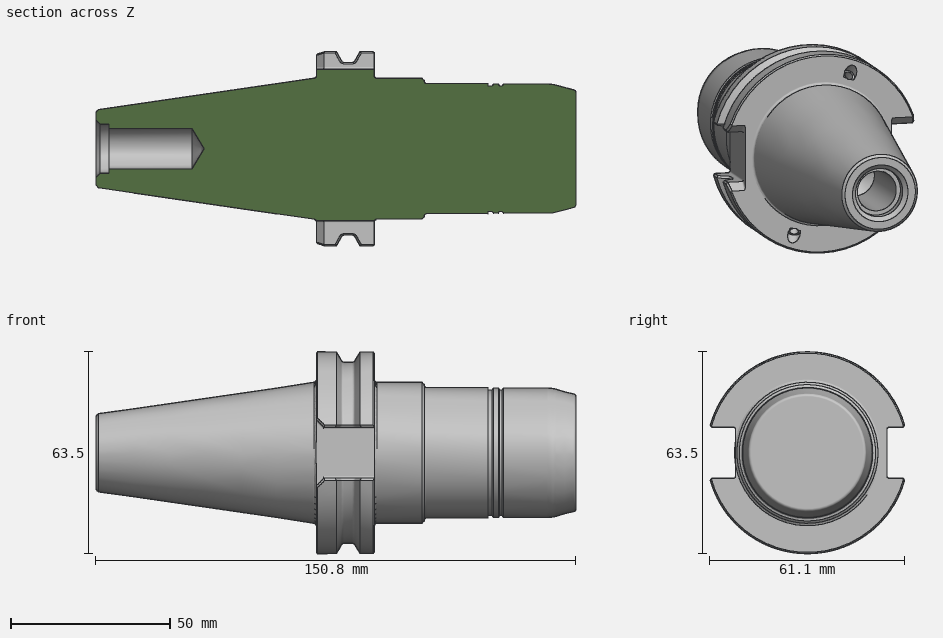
import cadquery as cq
import math

total_length = 150.8

taper_slope = 7 / 48
gauge_x = 68.3
gauge_radius = 22.2
small_radius = gauge_radius - gauge_x * taper_slope
tip_bevel = 0.8

flange_front = 69.2
flange_back = 87.5
flange_diameter = 63.5
flange_radius = flange_diameter / 2
flange_bevel = 0.5
root_fillet = 0.8
groove_floor_radius = 28.5
groove_front = 75.5
groove_back = 83.0
groove_flank_angle = math.radians(30)
groove_fillet = 0.8

collar_end = 103.1
collar_bevel = 0.8

body_radius = 20.5
body_end = 123.2
neck_fillet = 0.8
nose_radius = 20.4
ring_floor_radius = 19.8
ring_flank = 0.5
ridge_front = 124.9
ridge_back = 126.4
nose_front = 128.0

blend_front = 141.9
blend_length = 2.5
nose_angle = math.radians(15)
rim_fillet = 0.9

slot_half_width = 8.0
slot_floors = {1: 25.0, -1: 22.6}
slot_lead = 2.4
slot_floor_fillet = 0.6
slot_edge_bevel = 0.68

bore_mouth_radius = 9.0
counterbore_radius = 7.7
bore_radius = 6.3
counterbore_depth = 4.0
bore_depth = 30.2
drill_tip_angle = math.radians(59)

coolant_mouth_radius = 2.0
coolant_mouth_depth = 1.2
coolant_radius = 1.4
coolant_circle = 26.8
coolant_turn = 20.0
coolant_slant = 45.0
coolant_depth = 7.5
coolant_lead_in = 3.0

tolerance = 0.02


def revolve_about_x(profile):
    return profile.close().revolve(360, (0, 0, 0), (1, 0, 0))


def turned_body():
    groove_run = (flange_radius - groove_floor_radius) * math.tan(groove_flank_angle)
    blend_radius = blend_length / math.sin(nose_angle)
    half_angle = nose_angle / 2
    blend_middle = (
        blend_front + blend_radius * math.sin(half_angle),
        nose_radius - blend_radius * (1 - math.cos(half_angle)),
    )
    cone_x = blend_front + blend_length
    cone_radius = nose_radius - blend_radius * (1 - math.cos(nose_angle))
    end_radius = cone_radius - (total_length - cone_x) * math.tan(nose_angle)
    profile = (
        cq.Workplane("XY")
        .lineTo(0, small_radius - tip_bevel)
        .lineTo(tip_bevel, small_radius + tip_bevel * taper_slope)
        .lineTo(gauge_x, gauge_radius)
        .lineTo(flange_front - root_fillet, gauge_radius)
        .radiusArc((flange_front, gauge_radius + root_fillet), -root_fillet)
        .lineTo(flange_front, flange_radius - flange_bevel)
        .lineTo(flange_front + flange_bevel, flange_radius)
        .lineTo(groove_front, flange_radius)
        .lineTo(groove_front + groove_run, groove_floor_radius)
        .lineTo(groove_back - groove_run, groove_floor_radius)
        .lineTo(groove_back, flange_radius)
        .lineTo(flange_back - flange_bevel, flange_radius)
        .lineTo(flange_back, flange_radius - flange_bevel)
        .lineTo(flange_back, gauge_radius + root_fillet)
        .radiusArc((flange_back + root_fillet, gauge_radius), -root_fillet)
        .lineTo(collar_end - collar_bevel, gauge_radius)
        .lineTo(collar_end, gauge_radius - collar_bevel)
        .lineTo(collar_end, body_radius + neck_fillet)
        .radiusArc((collar_end + neck_fillet, body_radius), -neck_fillet)
        .lineTo(body_end, body_radius)
        .lineTo(body_end, ring_floor_radius)
        .lineTo(ridge_front - ring_flank, ring_floor_radius)
        .lineTo(ridge_front, nose_radius)
        .lineTo(ridge_back, nose_radius)
        .lineTo(ridge_back + ring_flank, ring_floor_radius)
        .lineTo(nose_front - ring_flank, ring_floor_radius)
        .lineTo(nose_front, nose_radius)
        .lineTo(blend_front, nose_radius)
        .threePointArc(blend_middle, (cone_x, cone_radius))
        .lineTo(total_length, end_radius)
        .lineTo(total_length, 0)
    )
    body = revolve_about_x(profile)
    body = body.faces(">X").edges().fillet(rim_fillet)

    groove_corners = cq.selectors.BoxSelector(
        (groove_front, -flange_radius, -flange_radius),
        (groove_back, flange_radius, flange_radius),
    )
    floor_edges = [
        edge
        for edge in body.edges(groove_corners).edges("%CIRCLE").vals()
        if abs(edge.radius() - groove_floor_radius) < tolerance
    ]
    return body.newObject(floor_edges).fillet(groove_fillet)


def drive_slot(side, floor):
    outer = flange_radius + root_fillet
    lead_x = flange_front + slot_lead
    front = flange_front - root_fillet
    wide = slot_half_width + lead_x - front
    outline = [
        (front, -wide),
        (lead_x, -slot_half_width),
        (flange_back, -slot_half_width),
        (flange_back, slot_half_width),
        (lead_x, slot_half_width),
        (front, wide),
    ]
    cutter = (
        cq.Workplane("XZ", origin=(0, side * floor, 0))
        .polyline(outline)
        .close()
        .extrude(-side * (outer - floor))
    )
    floor_face = cutter.faces("<Y" if side > 0 else ">Y")
    return floor_face.edges("not |Z").fillet(slot_floor_fillet)


def bevel_slot_edges(body):
    rims = []
    for edge in body.edges().vals():
        middle = edge.Center()
        lies_on_wall = 0 < abs(middle.z) - slot_half_width + tolerance < slot_lead
        clears_slot_floor = abs(middle.y) > max(slot_floors.values()) + slot_floor_fillet
        between_bevels = flange_front + flange_bevel < middle.x < flange_back - flange_bevel
        is_wall_crease = edge.BoundingBox().xlen < tolerance
        if lies_on_wall and clears_slot_floor and between_bevels and not is_wall_crease:
            rims.append(edge)
    return body.newObject(rims).chamfer(slot_edge_bevel)


def pull_stud_bore():
    mouth_depth = bore_mouth_radius - counterbore_radius
    tip_depth = bore_radius / math.tan(drill_tip_angle)
    profile = (
        cq.Workplane("XY")
        .lineTo(0, bore_mouth_radius)
        .lineTo(mouth_depth, counterbore_radius)
        .lineTo(counterbore_depth, counterbore_radius)
        .lineTo(counterbore_depth, bore_radius)
        .lineTo(bore_depth, bore_radius)
        .lineTo(bore_depth + tip_depth, 0)
    )
    return revolve_about_x(profile)


def coolant_hole(turn):
    slant = math.radians(coolant_slant)
    direction = cq.Vector(math.cos(slant), 0, -math.sin(slant))
    mouth = cq.Vector(flange_front, 0, coolant_circle)
    start = mouth - direction * coolant_lead_in
    counterbore = cq.Solid.makeCylinder(
        coolant_mouth_radius, coolant_lead_in + coolant_mouth_depth, start, direction
    )
    passage = cq.Solid.makeCylinder(coolant_radius, coolant_lead_in + coolant_depth, start, direction)
    hole = cq.Workplane(counterbore).union(cq.Workplane(passage))
    return hole.rotate((0, 0, 0), (1, 0, 0), turn)


result = turned_body()
for side, floor in slot_floors.items():
    result = result.cut(drive_slot(side, floor))
result = bevel_slot_edges(result)
result = result.cut(pull_stud_bore())
for turn in (coolant_turn, coolant_turn + 180):
    result = result.cut(coolant_hole(turn))